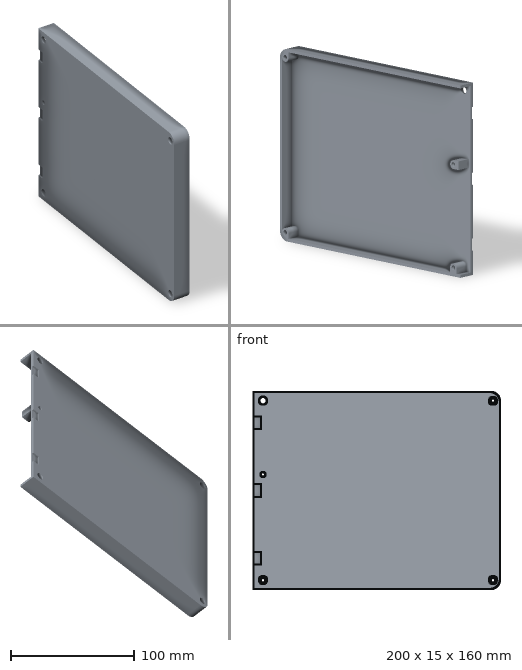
import cadquery as cq

length = 200.0
depth = 15.0
height = 160.0
plate_thickness = 3.0
wall = 2.5
corner_radius = 8.0

screw_edge_z = 7.2
screw_left_x = 7.8
screw_right_x = length - 5.8
boss_radius = 3.5
screw_diameter = 3.8
counterbore_diameter = 6.2
counterbore_depth = 5.0

plain_hole_diameter = 6.2

side_boss_z = 93.0
side_boss_radius = boss_radius
side_boss_start_x = 2.0

notch_width = 6.0
notch_height = 10.2
notch_depth = 1.5
notch_spacing = 54.8


def box(x, y, z, dx, dy, dz):
    """Box with its lowest corner at (x, y, z)."""
    return cq.Workplane("XY").box(dx, dy, dz, centered=False).translate((x, y, z))


def rod(x, z, diameter, start_y, end_y):
    """Cylinder along Y between two depths."""
    return (
        cq.Workplane("XZ", origin=(x, start_y, z))
        .circle(diameter / 2)
        .extrude(start_y - end_y)
    )


def make_outline():
    """Solid block with the +X corners rounded."""
    return box(0, 0, 0, length, depth, height).edges("|Y and >X").fillet(corner_radius)


def make_cavity():
    """Space inside the rim, open at the back and on the -X side."""
    cavity = box(0, plate_thickness, wall, length - wall, depth - plate_thickness, height - 2 * wall)
    return cavity.edges("|Y and >X").fillet(corner_radius - wall)


def corner_boss(x, z):
    """Round boss joined straight to the nearest long rim wall."""
    web_bottom = 0 if z < height / 2 else z
    web_height = min(z, height - z)
    web = box(x - boss_radius, 0, web_bottom, 2 * boss_radius, depth, web_height)
    return rod(x, z, 2 * boss_radius, 0, depth).union(web)


def side_boss():
    """Boss with a flat -X end and a round +X end."""
    block = box(
        side_boss_start_x, 0, side_boss_z - side_boss_radius,
        screw_left_x - side_boss_start_x, depth, 2 * side_boss_radius,
    )
    return block.union(rod(screw_left_x, side_boss_z, 2 * side_boss_radius, 0, depth))


lower_z = screw_edge_z
upper_z = height - screw_edge_z
boss_places = [
    (screw_left_x, lower_z),
    (screw_right_x, lower_z),
    (screw_right_x, upper_z),
]
plain_hole = (screw_left_x, upper_z)

outline = make_outline()
result = outline.cut(make_cavity()).union(side_boss())
for x, z in boss_places:
    result = result.union(corner_boss(x, z).intersect(outline))

for x, z in boss_places:
    result = result.cut(rod(x, z, screw_diameter, 0, depth))
    result = result.cut(rod(x, z, counterbore_diameter, 0, counterbore_depth))
result = result.cut(rod(*plain_hole, plain_hole_diameter, 0, plate_thickness))
result = result.cut(rod(screw_left_x, side_boss_z, screw_diameter, 0, depth))

for step in (-1, 0, 1):
    notch_bottom = height / 2 + step * notch_spacing - notch_height / 2
    result = result.cut(box(0, 0, notch_bottom, notch_width, notch_depth, notch_height))